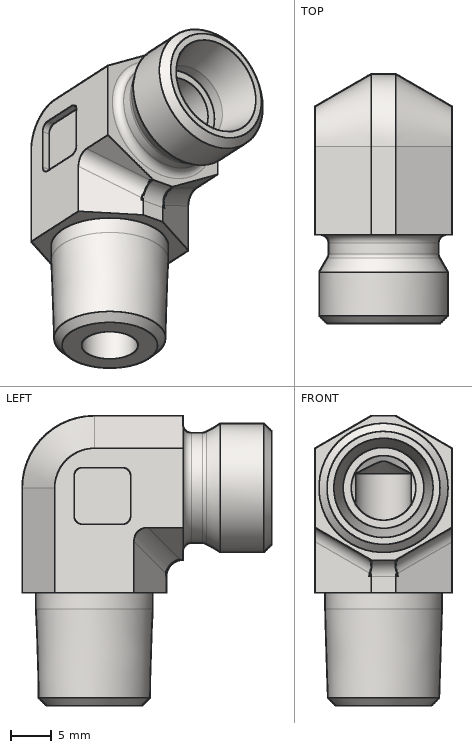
import cadquery as cq
import math

ACROSS_FLATS = 17.0
BODY_REACH = 8.95
RUN_FACE = 11.0
DROP_FACE = 13.0
CROTCH_RADIUS = 2.0

HALF_FLATS = ACROSS_FLATS / 2
HEX_SLOPE = math.tan(math.radians(30))
SHOULDER = HALF_FLATS * HEX_SLOPE
TIP_HALF_WIDTH = HALF_FLATS - (BODY_REACH - SHOULDER) / HEX_SLOPE

SPIGOT_DIA = 16.0
SPIGOT_END = 22.0
SPIGOT_CHAMFER = 1.0
NECK_DIA = 13.7
NECK_RADIUS = 1.0
NECK_CONE_ANGLE = 30.0
THREAD_START = 15.6

TAPER_DIA = 14.53
TAPER_RATIO = 1 / 16
TAPER_START = 15.0
TAPER_SPIGOT_END = 27.0
TAPER_CHAMFER = 1.0

RUN_BORE_DIA = 8.0
RUN_BORE_DEPTH = 22.4
SOCKET_DIA = 10.0
SOCKET_DEPTH = 7.0
MOUTH_DIA = 12.3
MOUTH_HALF_ANGLE = 12.0
DROP_BORE_DIA = 7.0
DROP_BORE_TOP = 1.75
DRILL_HALF_ANGLE = 60.0

RECESS_SIZE = 7.0
RECESS_CORNER = 1.0
RECESS_DEPTH = 1.0
RECESS_OFFSET = -1.0

SPIGOT_OVERLAP = 2.0
SELECT_MARGIN = 0.1


def hexagon_half():
    right = [(HALF_FLATS, SHOULDER), (TIP_HALF_WIDTH, BODY_REACH)]
    return right + [(-x, y) for x, y in reversed(right)]


def truncated_hexagon(plane):
    upper = hexagon_half()
    lower = [(-x, -y) for x, y in upper]
    return cq.Workplane(plane).polyline(upper + lower).close()


def make_body():
    run = truncated_hexagon("XZ").extrude(RUN_FACE)
    drop = truncated_hexagon("XY").extrude(-DROP_FACE)
    bend = (
        cq.Workplane("XY")
        .polyline([(HALF_FLATS, 0)] + hexagon_half() + [(-HALF_FLATS, 0)])
        .close()
        .revolve(90, (0, 0, 0), (1, 0, 0))
    )
    legs = run.union(drop)
    reach = BODY_REACH + SELECT_MARGIN
    inner = SHOULDER - SELECT_MARGIN
    half_span = HALF_FLATS - SELECT_MARGIN
    crotch = cq.selectors.BoxSelector(
        (-half_span, -reach, -reach), (half_span, -inner, -inner)
    )
    return legs.edges(crotch).fillet(CROTCH_RADIUS).union(bend)


def revolve_profile(profile):
    return profile.close().revolve(360, (0, 0, 0), (0, 1, 0))


def make_run_spigot():
    radius = SPIGOT_DIA / 2
    neck = NECK_DIA / 2
    blend = NECK_RADIUS
    cone_angle = math.radians(NECK_CONE_ANGLE)
    cone_start = THREAD_START - (radius - neck) / math.tan(cone_angle)
    setback = blend * math.tan(cone_angle / 2)
    blend_x = neck + setback * math.sin(cone_angle)
    blend_y = cone_start + setback * math.cos(cone_angle)
    profile = (
        cq.Workplane("XY")
        .moveTo(0, -SPIGOT_END)
        .lineTo(radius - SPIGOT_CHAMFER, -SPIGOT_END)
        .lineTo(radius, -SPIGOT_END + SPIGOT_CHAMFER)
        .lineTo(radius, -THREAD_START)
        .lineTo(blend_x, -blend_y)
        .radiusArc((neck, setback - cone_start), blend)
        .lineTo(neck, -RUN_FACE - blend)
        .radiusArc((neck + blend, -RUN_FACE), blend)
        .lineTo(neck + blend, -RUN_FACE + SPIGOT_OVERLAP)
        .lineTo(0, -RUN_FACE + SPIGOT_OVERLAP)
    )
    return revolve_profile(profile)


def make_drop_spigot():
    radius = TAPER_DIA / 2
    taper_end = TAPER_SPIGOT_END - TAPER_CHAMFER
    small = radius - (taper_end - TAPER_START) * TAPER_RATIO / 2
    profile = (
        cq.Workplane("XZ")
        .moveTo(0, -TAPER_SPIGOT_END)
        .lineTo(small - TAPER_CHAMFER, -TAPER_SPIGOT_END)
        .lineTo(small, -taper_end)
        .lineTo(radius, -TAPER_START)
        .lineTo(radius, -DROP_FACE + SPIGOT_OVERLAP)
        .lineTo(0, -DROP_FACE + SPIGOT_OVERLAP)
    )
    return revolve_profile(profile)


def drill_tip(radius):
    return radius / math.tan(math.radians(DRILL_HALF_ANGLE))


def make_run_bore():
    bore = RUN_BORE_DIA / 2
    socket = SOCKET_DIA / 2
    mouth = MOUTH_DIA / 2
    mouth_length = (mouth - socket) / math.tan(math.radians(MOUTH_HALF_ANGLE))
    bore_end = -SPIGOT_END + RUN_BORE_DEPTH
    profile = (
        cq.Workplane("XY")
        .moveTo(0, -SPIGOT_END)
        .lineTo(mouth, -SPIGOT_END)
        .lineTo(socket, -SPIGOT_END + mouth_length)
        .lineTo(socket, -SPIGOT_END + SOCKET_DEPTH)
        .lineTo(bore, -SPIGOT_END + SOCKET_DEPTH)
        .lineTo(bore, bore_end)
        .lineTo(0, bore_end + drill_tip(bore))
    )
    return revolve_profile(profile)


def make_drop_bore():
    bore = DROP_BORE_DIA / 2
    profile = (
        cq.Workplane("XZ")
        .moveTo(0, -TAPER_SPIGOT_END)
        .lineTo(bore, -TAPER_SPIGOT_END)
        .lineTo(bore, DROP_BORE_TOP)
        .lineTo(0, DROP_BORE_TOP + drill_tip(bore))
    )
    return revolve_profile(profile)


def make_recess():
    return (
        cq.Workplane("YZ", origin=(-HALF_FLATS, RECESS_OFFSET, RECESS_OFFSET))
        .rect(RECESS_SIZE, RECESS_SIZE)
        .extrude(RECESS_DEPTH)
        .edges("|X")
        .fillet(RECESS_CORNER)
    )


result = (
    make_body()
    .union(make_run_spigot())
    .union(make_drop_spigot())
    .cut(make_run_bore())
    .cut(make_drop_bore())
    .cut(make_recess())
)